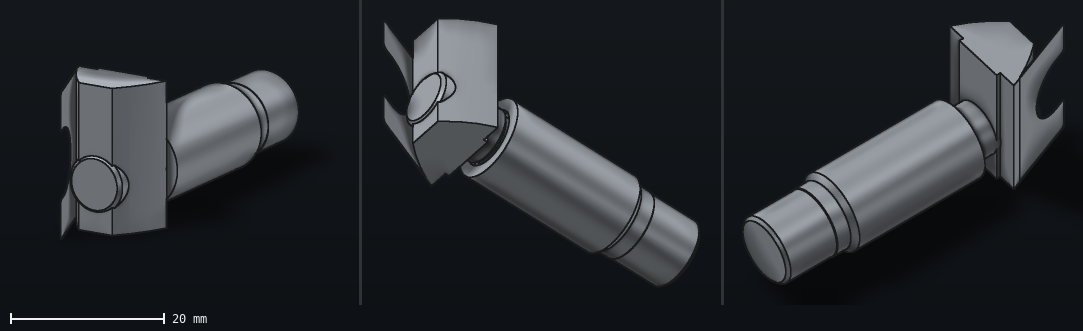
import cadquery as cq
import math


SHAFT_END_Y = 36.1
JOURNAL_DIAMETER = 10.0
JOURNAL_LENGTH = 8.1
END_CHAMFER = 0.5
NECK_DIAMETER = 10.2
NECK_LENGTH = 2.25
NECK_STEP = (NECK_DIAMETER - JOURNAL_DIAMETER) / 2
BODY_DIAMETER = 11.75
SHOULDER_TAPER_LENGTH = 0.85
BODY_FRONT_Y = 4.1
RECESS_DIAMETER = 8.3
RECESS_DEPTH = 1.0

PIN_DIAMETER = 8.0
PIN_FACE_DIAMETER = 7.0
PIN_FRONT_Y = -7.0
PIN_CHAMFER = (PIN_DIAMETER - PIN_FACE_DIAMETER) / 2

BLOCK_HEIGHT = 20.0
BLOCK_CENTER_Z = 3.35
BLOCK_REAR_WIDTH = 13.5
BLOCK_FRONT_WIDTH = 5.05
BLOCK_DEPTH = 6.7
FLANK_START_ANGLE = math.radians(22)
PAD_WIDTH = 7.8
PAD_HEIGHT = 0.63

BLADE_REACH = 48.15 - SHAFT_END_Y
BLADE_ANGLE = math.radians(21)
BLADE_THICKNESS = 0.1
BLADE_CORNER_RADIUS = 0.6
SLOT_WIDTH = 9.15
SLOT_BOTTOM_Y = -5.5


def make_shaft():
    journal_front = SHAFT_END_Y - JOURNAL_LENGTH
    neck_front = journal_front - NECK_LENGTH
    body_rear = neck_front - SHOULDER_TAPER_LENGTH
    journal_radius = JOURNAL_DIAMETER / 2
    pin_radius = PIN_DIAMETER / 2
    pin_face_radius = PIN_FACE_DIAMETER / 2
    half_profile = [
        (0, SHAFT_END_Y),
        (journal_radius - END_CHAMFER, SHAFT_END_Y),
        (journal_radius, SHAFT_END_Y - END_CHAMFER),
        (journal_radius, journal_front),
        (NECK_DIAMETER / 2, journal_front - NECK_STEP),
        (NECK_DIAMETER / 2, neck_front),
        (BODY_DIAMETER / 2, body_rear),
        (BODY_DIAMETER / 2, BODY_FRONT_Y),
        (RECESS_DIAMETER / 2, BODY_FRONT_Y),
        (RECESS_DIAMETER / 2, BODY_FRONT_Y + RECESS_DEPTH),
        (pin_face_radius, BODY_FRONT_Y + RECESS_DEPTH),
        (pin_face_radius, BODY_FRONT_Y),
        (pin_radius, BODY_FRONT_Y - PIN_CHAMFER),
        (pin_radius, PIN_FRONT_Y + PIN_CHAMFER),
        (pin_face_radius, PIN_FRONT_Y),
        (0, PIN_FRONT_Y),
    ]
    outline = cq.Workplane("XY").polyline(half_profile).close()
    return outline.revolve(360, (0, 0, 0), (0, 1, 0))


def flank_middle():
    """Midpoint of the right flank arc, which starts at FLANK_START_ANGLE from the shaft axis."""
    rear_x = BLOCK_REAR_WIDTH / 2
    front_x = BLOCK_FRONT_WIDTH / 2
    chord = math.hypot(rear_x - front_x, BLOCK_DEPTH)
    chord_angle = math.atan2(rear_x - front_x, BLOCK_DEPTH)
    bulge = chord / 2 * math.tan((chord_angle - FLANK_START_ANGLE) / 2)
    middle_x = (rear_x + front_x) / 2 + bulge * math.cos(chord_angle)
    middle_y = -BLOCK_DEPTH / 2 - bulge * math.sin(chord_angle)
    return middle_x, middle_y


def make_block():
    rear_x = BLOCK_REAR_WIDTH / 2
    front_x = BLOCK_FRONT_WIDTH / 2
    pad_x = PAD_WIDTH / 2
    middle_x, middle_y = flank_middle()
    return (
        cq.Workplane("XY", origin=(0, 0, BLOCK_CENTER_Z))
        .moveTo(-pad_x, PAD_HEIGHT)
        .lineTo(pad_x, PAD_HEIGHT)
        .lineTo(pad_x, 0)
        .lineTo(rear_x, 0)
        .threePointArc((middle_x, middle_y), (front_x, -BLOCK_DEPTH))
        .lineTo(-front_x, -BLOCK_DEPTH)
        .threePointArc((-middle_x, middle_y), (-rear_x, 0))
        .lineTo(-pad_x, 0)
        .close()
        .extrude(BLOCK_HEIGHT / 2, both=True)
    )


def make_blade():
    rear_x = -BLOCK_REAR_WIDTH / 2
    tip_x = rear_x + BLADE_REACH * math.tan(BLADE_ANGLE)
    x_thickness = BLADE_THICKNESS / math.cos(BLADE_ANGLE)
    sheet = (
        cq.Workplane("XY", origin=(0, 0, BLOCK_CENTER_Z))
        .polyline([
            (rear_x, 0),
            (tip_x, -BLADE_REACH),
            (tip_x + x_thickness, -BLADE_REACH),
            (rear_x + x_thickness, 0),
        ])
        .close()
        .extrude(BLOCK_HEIGHT / 2, both=True)
    )

    half_height = BLOCK_HEIGHT / 2
    slot_radius = SLOT_WIDTH / 2
    slot_center_y = SLOT_BOTTOM_Y - slot_radius
    fork = (
        cq.Workplane("YZ", origin=(0, 0, BLOCK_CENTER_Z))
        .moveTo(0, -half_height)
        .lineTo(0, half_height)
        .lineTo(-BLADE_REACH, half_height)
        .lineTo(-BLADE_REACH, slot_radius)
        .lineTo(slot_center_y, slot_radius)
        .threePointArc((SLOT_BOTTOM_Y, 0), (slot_center_y, -slot_radius))
        .lineTo(-BLADE_REACH, -slot_radius)
        .lineTo(-BLADE_REACH, -half_height)
        .close()
        .extrude(BLOCK_REAR_WIDTH, both=True)
        .edges("|X and <Y")
        .fillet(BLADE_CORNER_RADIUS)
    )
    return sheet.intersect(fork)


result = make_shaft().union(make_block()).union(make_blade())